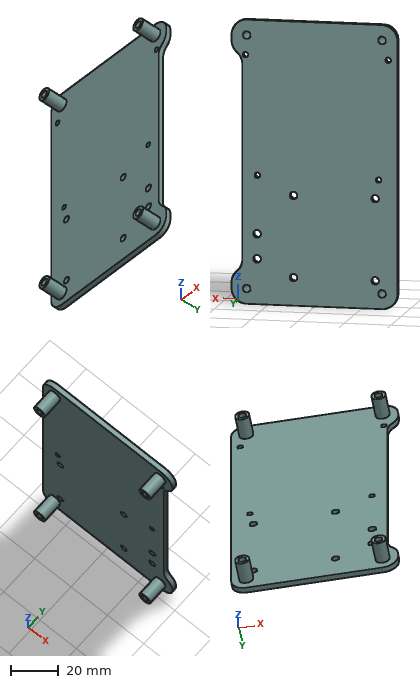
import cadquery as cq
import math

height = 121.0
width = 71.0
depth = 12.5
plate_thickness = 2.5
corner_radius = 6.5

recess_depth = 4.6
lobe_straight = 2.4

standoff_diameter = 6.0
standoff_bore = 3.3
standoff_x = width / 2 - corner_radius
standoff_z = height / 2 - corner_radius
standoff_points = [(x, z) for x in (-standoff_x, standoff_x) for z in (-standoff_z, standoff_z)]

small_diameter = 2.3
upper_pair_z = 45.6
lower_pair_z = -5.6
small_points = [
    (-31.6, upper_pair_z),
    (29.5, upper_pair_z),
    (-27.5, lower_pair_z),
    (24.5, lower_pair_z),
]

square_diameter = 3.1
square_pitch = 35.0
square_left = -26.0
square_bottom = -48.5
square_points = [
    (square_left + column * square_pitch, square_bottom + row * square_pitch)
    for column in range(2)
    for row in range(2)
]

side_diameter = 3.3
side_x = 24.6
side_points = [(side_x, -30.5), (side_x, -41.1)]


def plane_at(y):
    """XZ workplane at the given Y; extrusion runs towards -Y."""
    return cq.Workplane("XZ", origin=(0, y, 0))


def recess_cutter():
    """Outline of the recess: each end is an S of two equal tangent arcs."""
    outer_x = width / 2
    inner_x = outer_x - recess_depth
    middle_x = outer_x - recess_depth / 2
    turn = math.acos(1 - recess_depth / (2 * corner_radius))
    arc_rise = corner_radius * math.sin(turn)
    outer_z = standoff_z - lobe_straight
    middle_z = outer_z - arc_rise
    inner_z = middle_z - arc_rise
    return (
        plane_at(0)
        .moveTo(outer_x, outer_z)
        .radiusArc((middle_x, middle_z), corner_radius)
        .radiusArc((inner_x, inner_z), -corner_radius)
        .lineTo(inner_x, -inner_z)
        .radiusArc((middle_x, -middle_z), -corner_radius)
        .radiusArc((outer_x, -outer_z), corner_radius)
        .close()
        .extrude(plate_thickness)
    )


def cylinders(points, diameter, length):
    """Cylinders running from the back face of the plate towards -Y."""
    return plane_at(0).pushPoints(points).circle(diameter / 2).extrude(length)


plate = plane_at(0).rect(width, height).extrude(plate_thickness).edges("|Y").fillet(corner_radius)
plate = plate.cut(recess_cutter())

result = plate.union(cylinders(standoff_points, standoff_diameter, depth))
for points, diameter in (
    (standoff_points, standoff_bore),
    (small_points, small_diameter),
    (square_points, square_diameter),
    (side_points, side_diameter),
):
    result = result.cut(cylinders(points, diameter, depth))